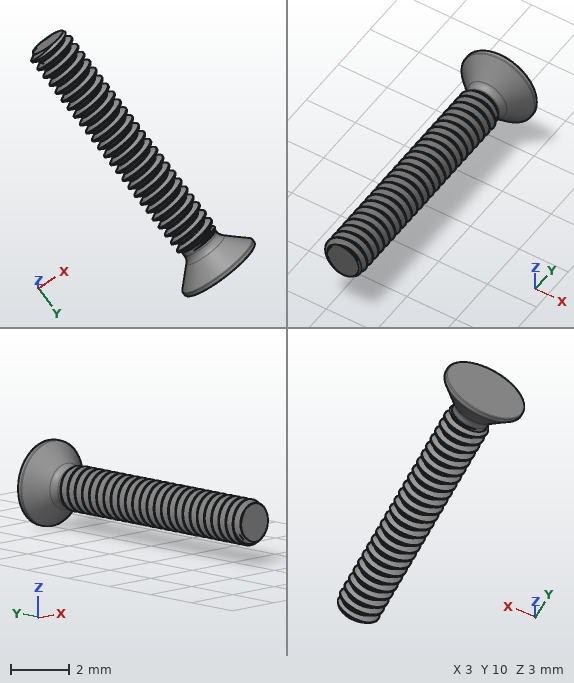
import cadquery as cq
import math

length = 10.0

head_radius = 1.5
rim_height = 0.17
back_edge_round = 0.03
rim_edge_round = 0.05
neck_radius = 0.69
neck_fillet = 0.39
neck_end = 1.31
countersink_angle = math.radians(45)

pitch = 0.35
major_radius = 0.8
thread_start = 1.21
lead_in_length = 0.18
core_radius = 0.65
shank_start = 0.5
tip_radius = 0.69
tip_chamfer_length = 0.16
groove_start = 0.96
flank_angle = math.radians(30)
crest_width = pitch / 6
root_width = pitch / 6
thread_depth = (pitch - crest_width - root_width) / 2 / math.tan(flank_angle)
root_radius = major_radius - thread_depth
groove_clearance = 0.03


def make_head():
    """Revolve the head and its filleted neck about the Y axis."""
    fillet_start_radius = neck_radius + neck_fillet * (1 - math.cos(countersink_angle))
    cone_depth = (head_radius - fillet_start_radius) / math.tan(countersink_angle)
    fillet_start = rim_height + cone_depth
    fillet_end = fillet_start + neck_fillet * math.sin(countersink_angle)
    half_angle = countersink_angle / 2
    fillet_middle = (
        neck_radius + neck_fillet * (1 - math.cos(half_angle)),
        -(fillet_end - neck_fillet * math.sin(half_angle)),
    )
    head = (
        cq.Workplane("XY")
        .lineTo(head_radius, 0)
        .lineTo(head_radius, -rim_height)
        .lineTo(fillet_start_radius, -fillet_start)
        .threePointArc(fillet_middle, (neck_radius, -fillet_end))
        .lineTo(neck_radius, -neck_end)
        .lineTo(0, -neck_end)
        .close()
        .revolve(360, (0, 0, 0), (0, 1, 0))
    )
    head = head.faces(">Y").edges().fillet(back_edge_round)
    rim_corner = cq.selectors.NearestToPointSelector((0, -rim_height, head_radius))
    return head.edges(rim_corner).fillet(rim_edge_round)


def make_shank():
    """Revolve the shank at its major diameter, tapered at both ends and rooted inside the head."""
    lead_in_slope = lead_in_length / (major_radius - neck_radius)
    lead_in_start = thread_start - lead_in_slope * (neck_radius - core_radius)
    return (
        cq.Workplane("XY")
        .moveTo(0, -shank_start)
        .lineTo(core_radius, -shank_start)
        .lineTo(core_radius, -lead_in_start)
        .lineTo(major_radius, -(thread_start + lead_in_length))
        .lineTo(major_radius, -(length - tip_chamfer_length))
        .lineTo(tip_radius, -length)
        .lineTo(0, -length)
        .close()
        .revolve(360, (0, 0, 0), (0, 1, 0))
    )


def make_thread_groove():
    """Build the helical groove cutter from ruled walls, running from below the tip into the head."""
    turns = math.ceil((length - groove_start) / pitch) + 1
    helix_height = turns * pitch
    outer_radius = major_radius + groove_clearance
    half_root = root_width / 2
    half_mouth = half_root + (outer_radius - root_radius) * math.tan(flank_angle)
    corners = [
        (root_radius, -half_root),
        (outer_radius, -half_mouth),
        (outer_radius, half_mouth),
        (root_radius, half_root),
    ]
    helices = [
        cq.Wire.makeHelix(pitch, helix_height, radius, center=cq.Vector(0, 0, height))
        for radius, height in corners
    ]
    walls = [
        cq.Face.makeRuledSurface(helix, next_helix)
        for helix, next_helix in zip(helices, helices[1:] + helices[:1])
    ]
    ends = [
        cq.Face.makeFromWires(
            cq.Wire.makePolygon(
                [cq.Vector(radius, 0, height + rise) for radius, height in corners],
                close=True,
            )
        )
        for rise in (0, helix_height)
    ]
    faces = [face for wall in walls for face in wall.Faces()] + ends
    groove = cq.Workplane(cq.Solid.makeSolid(cq.Shell.makeShell(faces)))
    return (
        groove.rotate((0, 0, 0), (0, 0, 1), 90)
        .rotate((0, 0, 0), (1, 0, 0), -90)
        .translate((0, -groove_start - helix_height, 0))
    )


threaded_shank = make_shank().cut(make_thread_groove())
result = make_head().union(threaded_shank)